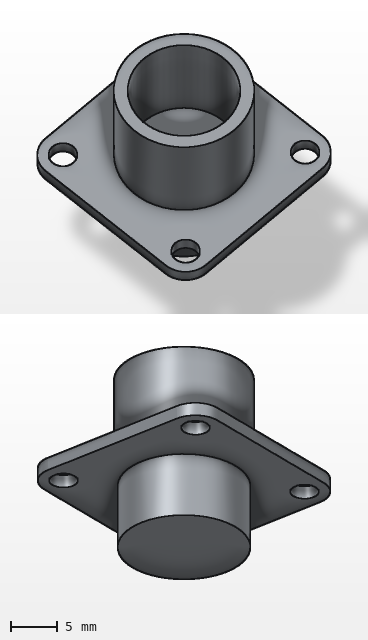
import cadquery as cq

flange_side = 23.93
flange_thickness = 1.52
corner_radius = 3.05

hole_diameter = 3.05
hole_spacing = 18.26

overall_height = 20.32
upper_diameter = 14.99
upper_height = 11.35
lower_diameter = 14.17
lower_height = overall_height - flange_thickness - upper_height

bore_diameter = 12.0
bore_depth = upper_height


def make_flange():
    """Rounded square plate with a through hole near each corner."""
    plate = (
        cq.Workplane("XY")
        .rect(flange_side, flange_side)
        .extrude(flange_thickness)
        .edges("|Z")
        .fillet(corner_radius)
    )
    return (
        plate.faces(">Z")
        .workplane()
        .rect(hole_spacing, hole_spacing, forConstruction=True)
        .vertices()
        .hole(hole_diameter)
    )


def make_upper_barrel():
    """Socket wall, standing on the upper face of the flange."""
    return (
        cq.Workplane("XY", origin=(0, 0, flange_thickness))
        .circle(upper_diameter / 2)
        .extrude(upper_height)
    )


def make_lower_barrel():
    """Solid plug, hanging from the lower face of the flange."""
    return cq.Workplane("XY").circle(lower_diameter / 2).extrude(-lower_height)


def make_bore():
    """Material removed from the upper barrel, measured down from its rim."""
    rim_height = flange_thickness + upper_height
    return (
        cq.Workplane("XY", origin=(0, 0, rim_height))
        .circle(bore_diameter / 2)
        .extrude(-bore_depth)
    )


result = make_flange().union(make_upper_barrel()).union(make_lower_barrel()).cut(make_bore())